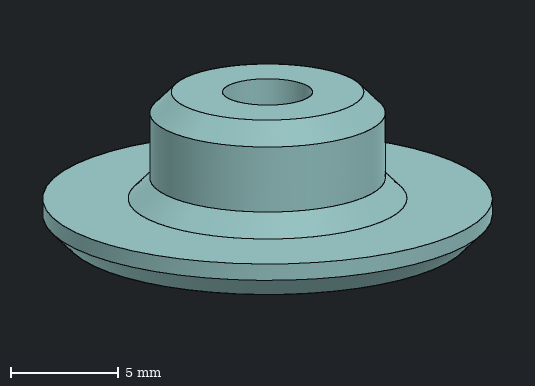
import cadquery as cq

flange_diameter = 21.0
total_height = 7.0
flange_top = 1.8
hub_diameter = 11.0
bore_diameter = 4.2
bevel = 1.0

flange_radius = flange_diameter / 2
hub_radius = hub_diameter / 2
bore_radius = bore_diameter / 2

half_section = [
    (bore_radius, 0),
    (flange_radius - bevel, 0),
    (flange_radius, bevel),
    (flange_radius, flange_top),
    (hub_radius + bevel, flange_top),
    (hub_radius, flange_top + bevel),
    (hub_radius, total_height - bevel),
    (hub_radius - bevel, total_height),
    (bore_radius, total_height),
]

result = cq.Workplane("XZ").polyline(half_section).close().revolve(360, (0, 0, 0), (0, 1, 0))